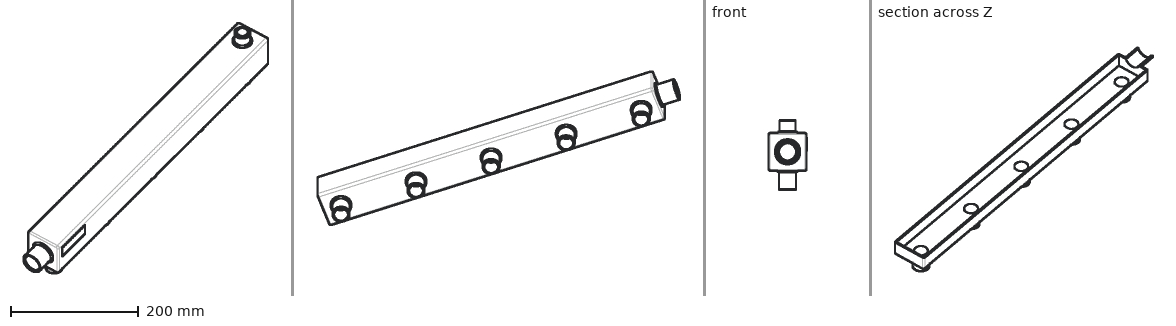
import cadquery as cq

side = 60.0
half_side = side / 2
length = 558.5
half_length = length / 2
wall = 3.0
long_edge_radius = 4.0
end_edge_radius = 2.65

inlet_diameter = 33.5
inlet_bore = 27.0
inlet_mouth = 30.0
inlet_length = 29.5

vent_diameter = 25.0
vent_bore = 17.0
vent_length = 20.0
vent_chamfer = 2.0

outlet_diameter = 27.0
outlet_bore = 22.0
outlet_length = 30.0
outlet_chamfer = 1.45
outlet_count = 5
outlet_span = 500.0
outlet_pitch = outlet_span / (outlet_count - 1)

weld_width = 3.0
weld_height = 2.5

plate_length = 60.0
plate_height = 20.0
plate_thickness = 0.5
plate_end_gap = 10.0
plate_top_gap = 8.0

UP = cq.Vector(0, 0, 1)
DOWN = cq.Vector(0, 0, -1)
FRONT = cq.Vector(0, -1, 0)
BACK = cq.Vector(0, 1, 0)


def cylinder(base, direction, diameter, height):
    return cq.Workplane(cq.Solid.makeCylinder(diameter / 2, height, base, direction))


def cone(base, direction, base_diameter, tip_diameter, height):
    return cq.Workplane(cq.Solid.makeCone(base_diameter / 2, tip_diameter / 2, height, base, direction))


def add_pipe(body, base, direction, diameter, bore, height, chamfer=0):
    """Add a pipe with a weld bead at its root, and open its bore into the hollow header."""
    pipe = cylinder(base - direction * wall, direction, diameter, height + wall)
    if chamfer:
        tip = base + direction * height
        pipe = pipe.faces(cq.NearestToPointSelector(tip.toTuple())).chamfer(chamfer)
    bead = cone(base, direction, diameter + 2 * weld_width, diameter, weld_height)
    passage = cylinder(base - direction * wall, direction, bore, height + wall)
    return body.union(pipe).union(bead).cut(passage)


header = cq.Workplane("XY").box(side, length, side)
header = header.edges("|Y").fillet(long_edge_radius)
header = header.faces("<Y or >Y").edges().fillet(end_edge_radius)
cavity = cq.Workplane("XY").box(side - 2 * wall, length - 2 * wall, side - 2 * wall)
header = header.cut(cavity)

inlet_base = cq.Vector(0, -half_length, 0)
header = add_pipe(header, inlet_base, FRONT, inlet_diameter, inlet_bore, inlet_length)
flare_depth = (inlet_mouth - inlet_bore) / 2
inlet_tip = inlet_base + FRONT * inlet_length
header = header.cut(cone(inlet_tip, BACK, inlet_mouth, inlet_bore, flare_depth))

vent_base = cq.Vector(0, outlet_span / 2, half_side)
header = add_pipe(header, vent_base, UP, vent_diameter, vent_bore, vent_length, vent_chamfer)

for index in range(outlet_count):
    outlet_base = cq.Vector(0, index * outlet_pitch - outlet_span / 2, -half_side)
    header = add_pipe(
        header, outlet_base, DOWN, outlet_diameter, outlet_bore, outlet_length, outlet_chamfer
    )

plate = cq.Workplane("XY").box(plate_thickness, plate_length, plate_height, centered=False)
plate_y = -half_length + plate_end_gap
plate_z = half_side - plate_top_gap - plate_height
plate = plate.translate((half_side, plate_y, plate_z))

result = header.union(plate)